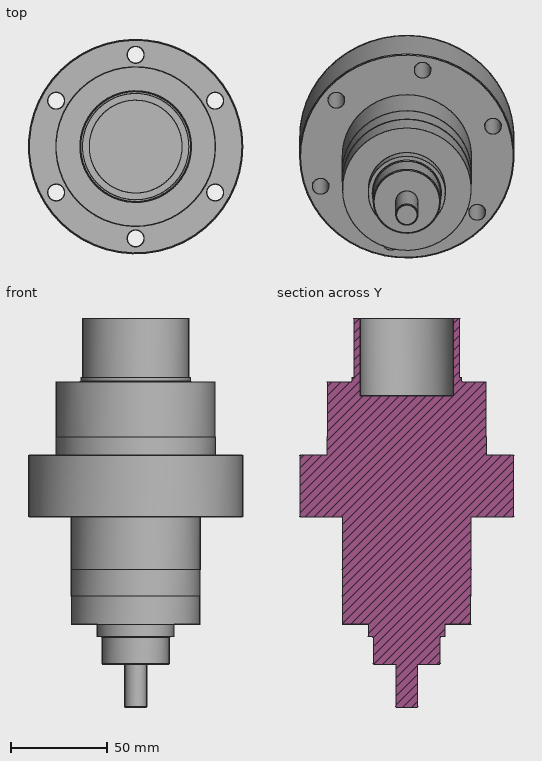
import cadquery as cq

TOTAL_HEIGHT = 201.93
TUBE_LENGTH = 30.5
COLLAR_HEIGHT = 2.4
UPPER_BODY_HEIGHT = 28.5
RING_HEIGHT = 9.3
FLANGE_THICKNESS = 32.4
BARREL_HEIGHT = 27.0
BARREL_BAND_HEIGHT = 14.0
BARREL_END_HEIGHT = 14.6
NECK_HEIGHT = 6.4
NOSE_HEIGHT = 14.5

TUBE_DIAMETER = 55.2
TUBE_BORE_DIAMETER = 48.2
COLLAR_DIAMETER = 57.0
UPPER_BODY_DIAMETER = 82.55
RING_DIAMETER = 82.9
FLANGE_DIAMETER = 111.25
BARREL_DIAMETER = 67.1
BARREL_BAND_DIAMETER = 67.0
BARREL_END_DIAMETER = 66.7
NECK_DIAMETER = 40.0
NOSE_DIAMETER = 34.9
SHAFT_DIAMETER = 11.55

TUBE_BORE_DEPTH = 40.0
EDGE_CHAMFER = 0.5
CORNER_FLARE = 0.5

BOLT_COUNT = 6
BOLT_CIRCLE_DIAMETER = 95.25
BOLT_HOLE_DIAMETER = 8.6
FIRST_BOLT_ANGLE = 90.0

TUBE_BOTTOM = TOTAL_HEIGHT - TUBE_LENGTH
COLLAR_BOTTOM = TUBE_BOTTOM - COLLAR_HEIGHT
UPPER_BODY_BOTTOM = COLLAR_BOTTOM - UPPER_BODY_HEIGHT
FLANGE_TOP = UPPER_BODY_BOTTOM - RING_HEIGHT
FLANGE_BOTTOM = FLANGE_TOP - FLANGE_THICKNESS
BARREL_BOTTOM = FLANGE_BOTTOM - BARREL_HEIGHT
BARREL_BAND_BOTTOM = BARREL_BOTTOM - BARREL_BAND_HEIGHT
BARREL_END_BOTTOM = BARREL_BAND_BOTTOM - BARREL_END_HEIGHT
NECK_BOTTOM = BARREL_END_BOTTOM - NECK_HEIGHT
NOSE_BOTTOM = NECK_BOTTOM - NOSE_HEIGHT


def cylinder(diameter, bottom, top):
    """Solid cylinder on the Z axis between two levels."""
    return cq.Workplane("XY").workplane(offset=bottom).circle(diameter / 2).extrude(top - bottom)


def corner_flare(diameter, shoulder, direction):
    """Small 45 degree cone widening a cylinder where it meets a shoulder.

    direction is +1 when the cylinder rises from the shoulder, -1 when it hangs below it.
    """
    radius = diameter / 2
    tip = shoulder + direction * CORNER_FLARE
    profile = [(0, shoulder), (radius + CORNER_FLARE, shoulder), (radius, tip), (0, tip)]
    return cq.Workplane("XZ").polyline(profile).close().revolve(360, (0, 0, 0), (0, 1, 0))


def make_flange():
    """Thick flange with both rims chamfered."""
    flange = cylinder(FLANGE_DIAMETER, FLANGE_BOTTOM, FLANGE_TOP)
    return flange.edges().chamfer(EDGE_CHAMFER)


def make_upper_body():
    """Raised body above the flange, ending in the tube and its collar."""
    ring = cylinder(RING_DIAMETER, FLANGE_TOP, UPPER_BODY_BOTTOM)
    body = cylinder(UPPER_BODY_DIAMETER, UPPER_BODY_BOTTOM, COLLAR_BOTTOM)
    collar = cylinder(COLLAR_DIAMETER, COLLAR_BOTTOM, TUBE_BOTTOM)
    flare = corner_flare(COLLAR_DIAMETER, COLLAR_BOTTOM, 1)
    tube = cylinder(TUBE_DIAMETER, TUBE_BOTTOM, TOTAL_HEIGHT)
    return ring.union(body).union(collar).union(flare).union(tube)


def make_lower_body():
    """Barrel, neck, nose and shaft below the flange."""
    barrel = cylinder(BARREL_DIAMETER, BARREL_BOTTOM, FLANGE_BOTTOM)
    band = cylinder(BARREL_BAND_DIAMETER, BARREL_BAND_BOTTOM, BARREL_BOTTOM)
    barrel_end = cylinder(BARREL_END_DIAMETER, BARREL_END_BOTTOM, BARREL_BAND_BOTTOM)
    neck = cylinder(NECK_DIAMETER, NECK_BOTTOM, BARREL_END_BOTTOM)
    nose = cylinder(NOSE_DIAMETER, NOSE_BOTTOM, NECK_BOTTOM).faces("<Z").chamfer(EDGE_CHAMFER)
    flare = corner_flare(NOSE_DIAMETER, NECK_BOTTOM, -1)
    shaft = cylinder(SHAFT_DIAMETER, 0, NOSE_BOTTOM).faces("<Z").chamfer(EDGE_CHAMFER)
    return barrel.union(band).union(barrel_end).union(neck).union(nose).union(flare).union(shaft)


def make_bolt_holes():
    """Ring of through holes in the flange."""
    return (
        cq.Workplane("XY")
        .workplane(offset=FLANGE_BOTTOM)
        .polarArray(BOLT_CIRCLE_DIAMETER / 2, FIRST_BOLT_ANGLE, 360, BOLT_COUNT)
        .circle(BOLT_HOLE_DIAMETER / 2)
        .extrude(FLANGE_THICKNESS)
    )


tube_bore = cylinder(TUBE_BORE_DIAMETER, TOTAL_HEIGHT - TUBE_BORE_DEPTH, TOTAL_HEIGHT)
body = make_flange().union(make_upper_body()).union(make_lower_body())
result = body.cut(tube_bore).cut(make_bolt_holes())